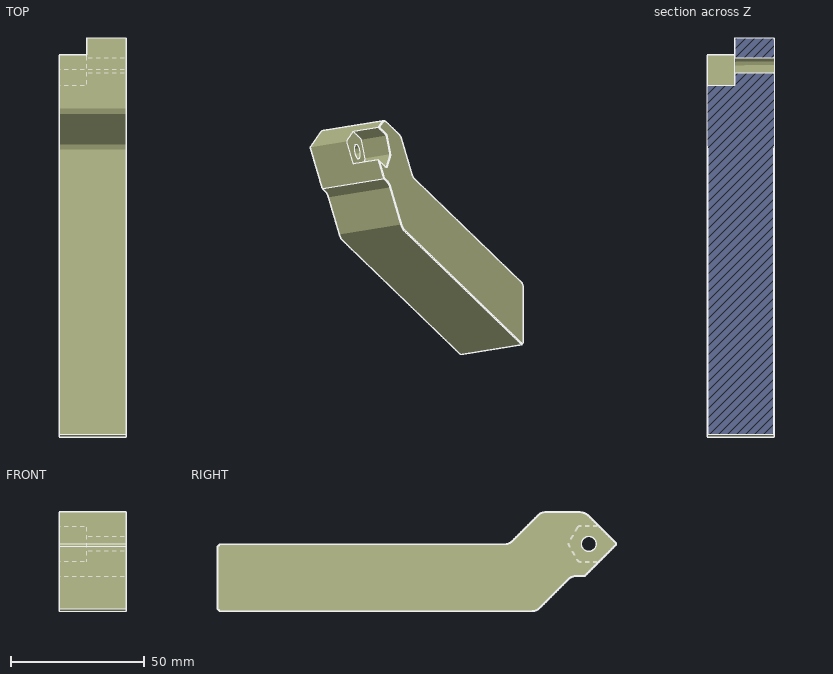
import cadquery as cq
import math

shank = 25.4
length = 150.0
height = 37.5
end_chamfer = 1.0
edge_chamfer = 0.3

nose_z = shank
head_rise = height - nose_z
chin_drop = 12.2
top_rear_setback = 28.3
lower_bend_setback = 30.0
nose_radius = 0.8
top_front_radius = 5.5
bend_radius = 4.0

seat_depth = 10.4
seat_across_flats = 13.2
seat_corner_radius = 1.0
seat_setback = 10.4
seat_y = length - seat_setback
hole_diameter = 5.5


def holder_body():
    """Bent outline, with every slope at 45 degrees, extruded across the width."""
    nose_y = length + nose_radius * (math.sqrt(2) - 1)
    top_rear_y = length - top_rear_setback
    lower_bend_y = length - lower_bend_setback
    chin_z = nose_z - chin_drop
    end_bottom = (0, 0)
    end_top = (0, shank)
    upper_bend = (top_rear_y - head_rise, shank)
    top_rear = (top_rear_y, height)
    top_front = (nose_y - head_rise, height)
    nose = (nose_y, nose_z)
    chin_front = (nose_y - chin_drop, chin_z)
    chin_rear = (lower_bend_y + chin_z, chin_z)
    lower_bend = (lower_bend_y, 0)
    outline = [
        end_bottom, end_top, upper_bend, top_rear, top_front,
        nose, chin_front, chin_rear, lower_bend,
    ]
    body = cq.Workplane("YZ").polyline(outline).close().extrude(shank)

    def edge_at(corner):
        point = (shank / 2, *corner)
        return body.edges("|X").edges(cq.selectors.NearestToPointSelector(point))

    for corner in (upper_bend, top_rear, chin_rear, lower_bend):
        body = edge_at(corner).fillet(bend_radius)
    body = edge_at(top_front).fillet(top_front_radius)
    body = edge_at(nose).fillet(nose_radius)
    for corner in (end_bottom, end_top):
        body = edge_at(corner).chamfer(end_chamfer)
    return body


def insert_seat():
    """Pocket with a hexagon point towards the shank and an open front."""
    half_height = seat_across_flats / 2
    half_side = half_height * math.tan(math.pi / 6)
    rear_y = seat_y - half_side
    point_y = seat_y - 2 * half_side
    top_z = nose_z + half_height
    bottom_z = nose_z - half_height
    pocket = (
        cq.Workplane("YZ")
        .moveTo(length + nose_radius, top_z)
        .lineTo(rear_y, top_z)
        .lineTo(point_y, nose_z)
        .lineTo(rear_y, bottom_z)
        .lineTo(length + nose_radius, bottom_z)
        .close()
        .extrude(seat_depth)
    )
    rear_corners = cq.selectors.BoxSelector(
        (0, point_y - half_side, bottom_z - half_side),
        (seat_depth, seat_y, top_z + half_side),
    )
    return pocket.edges("|X").edges(rear_corners).fillet(seat_corner_radius)


def insert_screw_hole():
    return (
        cq.Workplane("YZ")
        .center(seat_y, nose_z)
        .circle(hole_diameter / 2)
        .extrude(shank)
    )


result = (
    holder_body()
    .cut(insert_seat())
    .faces("<X or >X")
    .chamfer(edge_chamfer)
    .cut(insert_screw_hole())
)